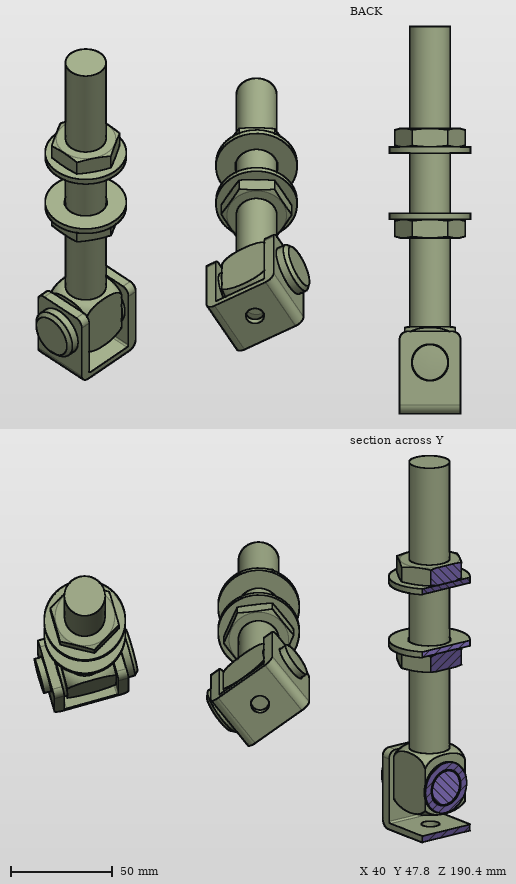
import math

import cadquery as cq

total_height = 190.4

rod_diameter = 20.0
washer_diameter = 40.0
washer_bore = 21.0
washer_thickness = 3.0
nut_across_flats = 30.0
nut_thickness = 9.1
nut_face_diameter = 29.3
nut_corner_drop = 0.8
upper_washer_bottom = 128.1
lower_washer_top = 98.6

pin_height = 25.3
block_width = 25.0
block_top = 42.8
block_bottom = 10.5
block_top_flat_radius = 9.9
block_top_rounding = 8.2
block_bottom_flat_radius = 6.7
block_bottom_rounding = 14.5

bracket_width = 30.0
bracket_depth = 37.9
bracket_height = 40.5
wall_thickness = 5.1
floor_thickness = 3.5
bend_outer_radius = 4.5
bend_inner_radius = 1.0
ear_corner_radius = 4.0
floor_hole_diameter = 9.0

pin_diameter = 17.5
pin_hole_diameter = 18.0
head_diameter = 25.0
head_length = 5.9
head_chamfer = 1.9
pin_protrusion = 3.5
pin_dome_height = 0.5
spacer_diameter = 26.0
spacer_thickness = 1.7

side_gap = (bracket_depth - 2 * wall_thickness - block_width - spacer_thickness) / 2
bracket_front = -block_width / 2 - side_gap - wall_thickness
bracket_back = bracket_front + bracket_depth


def cylinder_along_z(diameter, bottom, length):
    return cq.Workplane("XY").workplane(offset=bottom).circle(diameter / 2).extrude(length)


def cylinder_along_y(diameter, front, length):
    """Cylinder on the pin axis, growing toward +Y from y = front."""
    plane = cq.Plane(origin=(0, front, pin_height), xDir=(1, 0, 0), normal=(0, 1, 0))
    return cq.Workplane(plane).circle(diameter / 2).extrude(length)


def make_rod():
    return cylinder_along_z(rod_diameter, block_top, total_height - block_top)


def make_washer(bottom):
    ring = cylinder_along_z(washer_diameter, bottom, washer_thickness)
    return ring.cut(cylinder_along_z(washer_bore, bottom, washer_thickness))


def make_nut(bottom):
    """Hexagon nut with corners on the X axis, chamfered at both ends."""
    across_corners = nut_across_flats / math.cos(math.pi / 6)
    hexagon = cq.Workplane("XY").polygon(6, across_corners).extrude(nut_thickness)
    face_radius = nut_face_diameter / 2
    corner_radius = across_corners / 2
    chamfer_envelope = (
        cq.Workplane("XZ")
        .polyline([
            (0, 0),
            (face_radius, 0),
            (corner_radius, nut_corner_drop),
            (corner_radius, nut_thickness - nut_corner_drop),
            (face_radius, nut_thickness),
            (0, nut_thickness),
        ])
        .close()
        .revolve(360, (0, 0), (0, 1))
    )
    bore = cylinder_along_z(rod_diameter, 0, nut_thickness)
    return hexagon.intersect(chamfer_envelope).cut(bore).translate((0, 0, bottom))


def rounding_drop(radius, flat_radius, rounding):
    """Axial drop of a round shoulder that starts tangent at flat_radius."""
    return rounding - math.sqrt(rounding**2 - (radius - flat_radius) ** 2)


def make_block():
    """Square block whose top and bottom are rounded about the Z axis, with a cross hole."""
    corner_radius = block_width / math.sqrt(2)
    top_middle_radius = (block_top_flat_radius + corner_radius) / 2
    bottom_middle_radius = (block_bottom_flat_radius + corner_radius) / 2

    def top_point(radius):
        return radius, block_top - rounding_drop(radius, block_top_flat_radius, block_top_rounding)

    def bottom_point(radius):
        return radius, block_bottom + rounding_drop(radius, block_bottom_flat_radius, block_bottom_rounding)

    round_envelope = (
        cq.Workplane("XZ")
        .moveTo(0, block_bottom)
        .lineTo(block_bottom_flat_radius, block_bottom)
        .threePointArc(bottom_point(bottom_middle_radius), bottom_point(corner_radius))
        .lineTo(*top_point(corner_radius))
        .threePointArc(top_point(top_middle_radius), (block_top_flat_radius, block_top))
        .lineTo(0, block_top)
        .close()
        .revolve(360, (0, 0), (0, 1))
    )
    square_bar = (
        cq.Workplane("XY")
        .workplane(offset=block_bottom)
        .rect(block_width, block_width)
        .extrude(block_top - block_bottom)
    )
    hole = cylinder_along_y(pin_hole_diameter, -block_width / 2, block_width)
    return square_bar.intersect(round_envelope).cut(hole)


def make_bracket():
    """Bent U strap with round ear corners, a pin hole through both walls and a hole in the floor."""
    middle_y = (bracket_front + bracket_back) / 2
    strap = (
        cq.Workplane("XY")
        .center(0, middle_y)
        .rect(bracket_width, bracket_depth)
        .extrude(bracket_height)
        .edges("|X and <Z")
        .fillet(bend_outer_radius)
        .edges("|Y and >Z")
        .fillet(ear_corner_radius)
    )
    opening = (
        cq.Workplane("XY")
        .workplane(offset=floor_thickness)
        .center(0, middle_y)
        .rect(bracket_width, bracket_depth - 2 * wall_thickness)
        .extrude(bracket_height)
        .edges("|X and <Z")
        .fillet(bend_inner_radius)
    )
    hole = cylinder_along_y(pin_hole_diameter, bracket_front, bracket_depth)
    floor_hole = cylinder_along_z(floor_hole_diameter, 0, floor_thickness).translate((0, middle_y, 0))
    return strap.cut(opening).cut(hole).cut(floor_hole)


def make_pin():
    """Pin with a chamfered head at -Y and a slightly domed end at +Y."""
    head_front = bracket_front - head_length
    shank_end = bracket_back + pin_protrusion
    pin_radius = pin_diameter / 2
    head_radius = head_diameter / 2
    dome_radius = (pin_radius**2 + pin_dome_height**2) / (2 * pin_dome_height)
    dome_middle_radius = pin_radius / 2
    dome_centre = shank_end + pin_dome_height - dome_radius
    dome_middle = dome_centre + math.sqrt(dome_radius**2 - dome_middle_radius**2)
    return (
        cq.Workplane("XY")
        .moveTo(0, head_front)
        .lineTo(head_radius - head_chamfer, head_front)
        .lineTo(head_radius, head_front + head_chamfer)
        .lineTo(head_radius, bracket_front)
        .lineTo(pin_radius, bracket_front)
        .lineTo(pin_radius, shank_end)
        .threePointArc((dome_middle_radius, dome_middle), (0, shank_end + pin_dome_height))
        .close()
        .revolve(360, (0, 0), (0, 1))
        .translate((0, 0, pin_height))
    )


def make_spacer():
    """Ring on the pin against the +Y side of the block."""
    front = block_width / 2
    ring = cylinder_along_y(spacer_diameter, front, spacer_thickness)
    return ring.cut(cylinder_along_y(pin_hole_diameter, front, spacer_thickness))


rod = make_rod()
block = make_block()
bracket = make_bracket()
pin = make_pin()
spacer = make_spacer()

washer_bottoms = [upper_washer_bottom, lower_washer_top - washer_thickness]
nut_bottoms = [
    upper_washer_bottom + washer_thickness,
    lower_washer_top - washer_thickness - nut_thickness,
]
washers = [make_washer(bottom).val() for bottom in washer_bottoms]
nuts = [make_nut(bottom).val() for bottom in nut_bottoms]

result = cq.Compound.makeCompound([
    rod.val(),
    block.val(),
    bracket.val(),
    pin.val(),
    spacer.val(),
    *washers,
    *nuts,
])